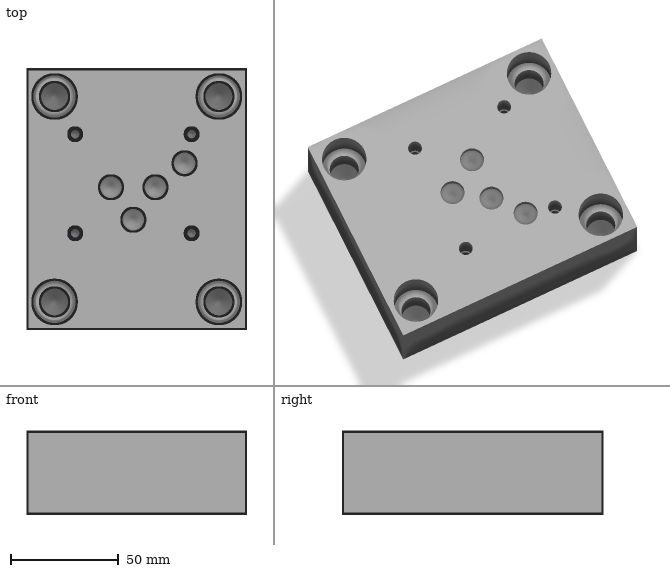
import cadquery as cq
import math

WIDTH = 101.6
LENGTH = 120.6
HEIGHT = 38.1

DRILL_POINT_ANGLE = 118.0

MOUNT_EDGE_DISTANCE = 12.7
MOUNT_BORE_DIAMETER = 20.6
MOUNT_BORE_DEPTH = 16.9
MOUNT_DRILL_DIAMETER = 13.5
MOUNT_DRILL_DEPTH = 30.2

VALVE_X = -28.6
VALVE_Y = -15.8
BOLT_SPACING_X = 54.0
BOLT_SPACING_Y = 46.0
BOLT_THREAD_DIAMETER = 6.4
BOLT_THREAD_DEPTH = 14.5
BOLT_DRILL_DIAMETER = 5.1
BOLT_DRILL_DEPTH = 19.3

PORT_DIAMETER = 11.1
PORT_DEPTH = 3.3
PORT_OFFSETS = {
    "pressure": (27.0, 6.3),
    "work_a": (16.6, 21.4),
    "work_b": (37.3, 21.4),
    "tank": (50.8, 32.5),
}


def drilled_hole(x, y, diameter, depth):
    """Cutter for a hole from the top face: a straight wall to `depth`, then the drill point."""
    radius = diameter / 2
    point_height = radius / math.tan(math.radians(DRILL_POINT_ANGLE / 2))
    return (
        cq.Workplane("XZ")
        .polyline([(0, 0), (radius, 0), (radius, -depth), (0, -depth - point_height)])
        .close()
        .revolve(360, (0, 0, 0), (0, 1, 0))
        .translate((x, y, HEIGHT))
    )


def stepped_hole(x, y, bore_diameter, bore_depth, drill_diameter, drill_depth):
    """Cutter for a flat-bottomed bore with a narrower drilled hole in its floor."""
    bore = (
        cq.Workplane("XY")
        .circle(bore_diameter / 2)
        .extrude(-bore_depth)
        .translate((x, y, HEIGHT))
    )
    return bore.union(drilled_hole(x, y, drill_diameter, drill_depth))


result = cq.Workplane("XY").box(WIDTH, LENGTH, HEIGHT, centered=(True, True, False))

mount_x = WIDTH / 2 - MOUNT_EDGE_DISTANCE
mount_y = LENGTH / 2 - MOUNT_EDGE_DISTANCE
for x in (-mount_x, mount_x):
    for y in (-mount_y, mount_y):
        result = result.cut(
            stepped_hole(
                x, y, MOUNT_BORE_DIAMETER, MOUNT_BORE_DEPTH, MOUNT_DRILL_DIAMETER, MOUNT_DRILL_DEPTH
            )
        )

for x in (VALVE_X, VALVE_X + BOLT_SPACING_X):
    for y in (VALVE_Y, VALVE_Y + BOLT_SPACING_Y):
        result = result.cut(
            stepped_hole(
                x, y, BOLT_THREAD_DIAMETER, BOLT_THREAD_DEPTH, BOLT_DRILL_DIAMETER, BOLT_DRILL_DEPTH
            )
        )

for offset_x, offset_y in PORT_OFFSETS.values():
    result = result.cut(
        drilled_hole(VALVE_X + offset_x, VALVE_Y + offset_y, PORT_DIAMETER, PORT_DEPTH)
    )